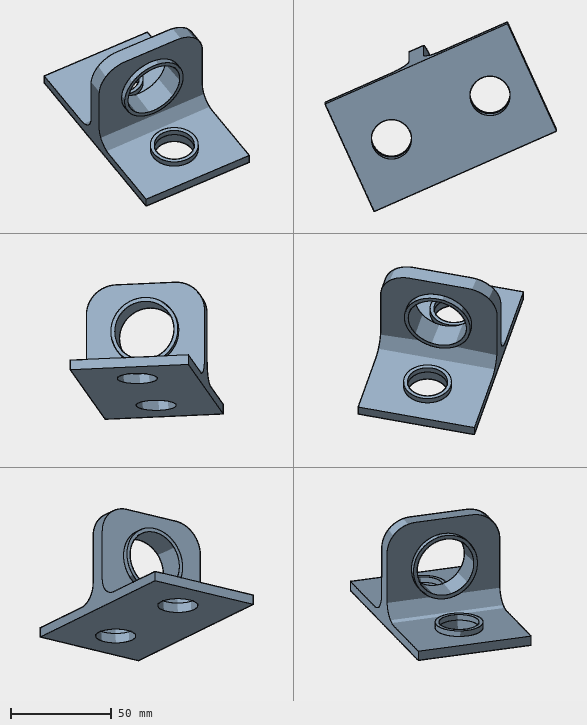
import cadquery as cq

base_length = 100.0
base_width = 60.0
base_thickness = 5.0
total_height = 55.0
web_thickness = 8.0
web_corner_radius = 15.0
root_fillet_radius = 10.0

boss_diameter = 34.0
boss_bore_diameter = 30.0
boss_length = 14.0
boss_center_height = 30.0

ring_outer_diameter = 24.0
ring_bore_diameter = 20.0
ring_height = 3.0
ring_offset = 27.0
ring_positions = [-ring_offset, ring_offset]


def x_cylinder(diameter, length):
    """Cylinder along X, centred on the web at the boss height."""
    return (
        cq.Workplane("YZ")
        .center(0, boss_center_height)
        .circle(diameter / 2)
        .extrude(length / 2, both=True)
    )


def make_base_and_web():
    """Inverted T with filleted roots and rounded upper web corners."""
    half_length = base_length / 2
    half_web = web_thickness / 2
    root_edge = half_web + root_fillet_radius
    root_top = base_thickness + root_fillet_radius
    profile = (
        cq.Workplane("XZ")
        .moveTo(-half_length, 0)
        .lineTo(half_length, 0)
        .lineTo(half_length, base_thickness)
        .lineTo(root_edge, base_thickness)
        .radiusArc((half_web, root_top), root_fillet_radius)
        .lineTo(half_web, total_height)
        .lineTo(-half_web, total_height)
        .lineTo(-half_web, root_top)
        .radiusArc((-root_edge, base_thickness), root_fillet_radius)
        .lineTo(-half_length, base_thickness)
        .close()
    )
    body = profile.extrude(base_width / 2, both=True)
    top_corner_edges = body.faces(">Z").edges("|X")
    return top_corner_edges.fillet(web_corner_radius)


def make_bracket():
    """Base and web with the boss, its bore and the two base holes."""
    body = make_base_and_web().union(x_cylinder(boss_diameter, boss_length))
    body = body.cut(x_cylinder(boss_bore_diameter, boss_length))
    base_holes = (
        cq.Workplane("XY")
        .pushPoints([(x, 0) for x in ring_positions])
        .circle(ring_bore_diameter / 2)
        .extrude(base_thickness)
    )
    return body.cut(base_holes)


def make_ring(x):
    """Ring resting on the base plate, in line with a base hole."""
    return (
        cq.Workplane("XY", origin=(x, 0, base_thickness))
        .circle(ring_outer_diameter / 2)
        .circle(ring_bore_diameter / 2)
        .extrude(ring_height)
    )


bracket = make_bracket()
rings = [make_ring(x) for x in ring_positions]

result = cq.Compound.makeCompound([bracket.val(), *[ring.val() for ring in rings]])